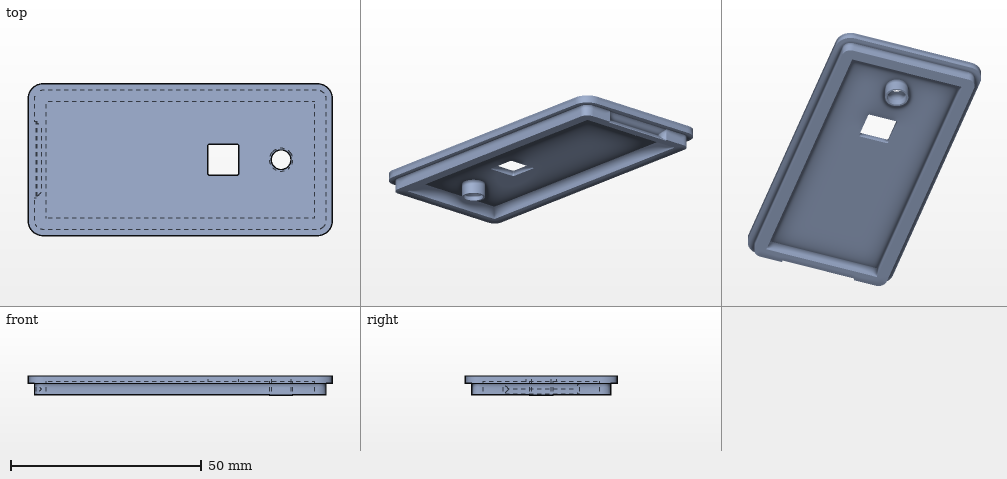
import cadquery as cq

PLATE_LENGTH = 80.0
PLATE_WIDTH = 40.0
PLATE_THICKNESS = 2.0
PLATE_CORNER_RADIUS = 4.0

RIM_INSET = 1.7
RIM_HEIGHT = 3.0
RIM_WALL = 3.0
FLOOR_THICKNESS = 1.5
CAVITY_DEPTH = RIM_HEIGHT + PLATE_THICKNESS - FLOOR_THICKNESS
RIM_LENGTH = PLATE_LENGTH - 2 * RIM_INSET
RIM_WIDTH = PLATE_WIDTH - 2 * RIM_INSET
RIM_CORNER_RADIUS = PLATE_CORNER_RADIUS - RIM_INSET
RIM_BOTTOM = -RIM_HEIGHT

WINDOW_SIZE = 8.1
WINDOW_CORNER_RADIUS = 0.4
WINDOW_X = 11.3

TUBE_X = 26.5
TUBE_OUTER_DIAMETER = 6.1
TUBE_HOLE_DIAMETER = 5.1
TUBE_PROJECTION = 0.2
TUBE_HEIGHT = TUBE_PROJECTION + CAVITY_DEPTH
TUBE_BOTTOM = RIM_BOTTOM - TUBE_PROJECTION

LATCH_WIDTH = 20.0
LATCH_RECESS_DEPTH = 0.35
GROOVE_HEIGHT = RIM_HEIGHT
GROOVE_DEPTH = GROOVE_HEIGHT / 2
GROOVE_END_INSET = GROOVE_DEPTH
LIP_TRIM = 0.25


def rounded_block(length, width, corner_radius, bottom, height):
    """Upright block centred on the Z axis, with rounded vertical edges."""
    block = cq.Workplane("XY").workplane(offset=bottom).rect(length, width).extrude(height)
    return block.edges("|Z").fillet(corner_radius)


def make_plate():
    return rounded_block(PLATE_LENGTH, PLATE_WIDTH, PLATE_CORNER_RADIUS, 0, PLATE_THICKNESS)


def make_rim():
    return rounded_block(RIM_LENGTH, RIM_WIDTH, RIM_CORNER_RADIUS, RIM_BOTTOM, RIM_HEIGHT)


def make_cavity():
    """Open space inside the rim, reaching slightly into the underside of the plate."""
    return cq.Workplane("XY").box(
        RIM_LENGTH - 2 * RIM_WALL, RIM_WIDTH - 2 * RIM_WALL, CAVITY_DEPTH, centered=(True, True, False)
    ).translate((0, 0, RIM_BOTTOM))


def make_latch_slot(depth, height):
    """Block cut into the -X end of the rim, rising from the rim's lower edge."""
    return cq.Workplane("XY").box(
        depth, LATCH_WIDTH, height, centered=(False, True, False)
    ).translate((-RIM_LENGTH / 2, 0, RIM_BOTTOM))


def make_latch_groove():
    """V groove with sloped ends, opening on the back wall of the recess."""
    back_wall_x = -RIM_LENGTH / 2 + LATCH_RECESS_DEPTH
    profile = [
        (back_wall_x, 0),
        (back_wall_x + GROOVE_DEPTH, -GROOVE_HEIGHT / 2),
        (back_wall_x, -GROOVE_HEIGHT),
    ]
    groove = cq.Workplane("XZ").polyline(profile).close().extrude(LATCH_WIDTH / 2, both=True)
    plan = [
        (back_wall_x, -LATCH_WIDTH / 2),
        (back_wall_x + GROOVE_DEPTH, -LATCH_WIDTH / 2 + GROOVE_END_INSET),
        (back_wall_x + GROOVE_DEPTH, LATCH_WIDTH / 2 - GROOVE_END_INSET),
        (back_wall_x, LATCH_WIDTH / 2),
    ]
    sloped_ends = cq.Workplane("XY").workplane(offset=RIM_BOTTOM).polyline(plan).close().extrude(RIM_HEIGHT)
    return groove.intersect(sloped_ends)


def make_window():
    window = rounded_block(WINDOW_SIZE, WINDOW_SIZE, WINDOW_CORNER_RADIUS, 0, PLATE_THICKNESS)
    return window.translate((WINDOW_X, 0, 0))


def make_tube_cylinder(diameter, height):
    """Cylinder on the tube axis, rising from the lower end of the tube."""
    base = cq.Workplane("XY").workplane(offset=TUBE_BOTTOM).center(TUBE_X, 0)
    return base.circle(diameter / 2).extrude(height)


tube = make_tube_cylinder(TUBE_OUTER_DIAMETER, TUBE_HEIGHT)
tube_hole = make_tube_cylinder(TUBE_HOLE_DIAMETER, TUBE_HEIGHT + FLOOR_THICKNESS)

result = make_plate().union(make_rim()).cut(make_cavity()).union(tube)
latch_recess = make_latch_slot(LATCH_RECESS_DEPTH, RIM_HEIGHT)
lip_trim = make_latch_slot(LATCH_RECESS_DEPTH + LIP_TRIM, LIP_TRIM)
result = result.cut(latch_recess).cut(lip_trim).cut(make_latch_groove())
result = result.cut(make_window()).cut(tube_hole)